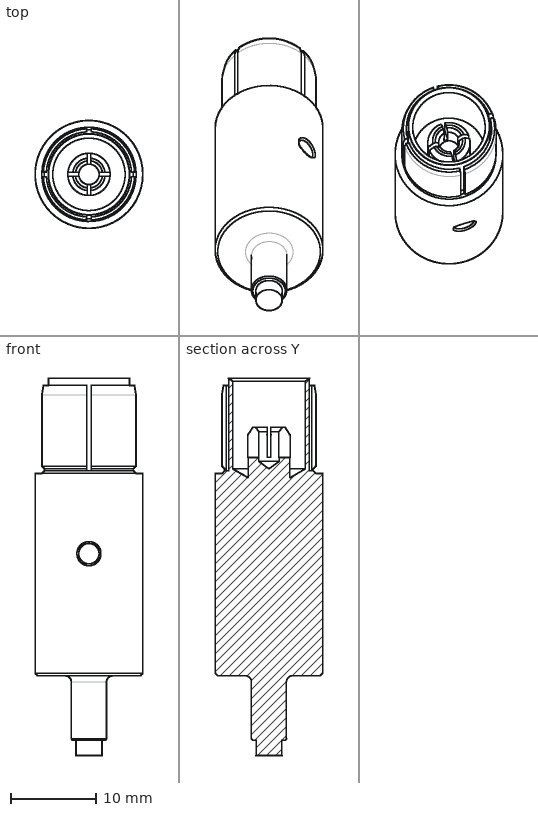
import cadquery as cq
import math

rim_z = 44.35
sleeve_top_z = rim_z - 0.85
body_top_z = rim_z - 11.15
body_bottom_z = rim_z - 34.98
stem_bottom_z = rim_z - 42.55

body_radius = 6.35
body_chamfer = 0.3

stem_radius = 2.1
stem_fillet = 0.7
stem_chamfer = 0.18
tip_radius = 1.55

sleeve_radius = 5.55
sleeve_top_radius = 5.35
sleeve_taper_height = 1.1
sleeve_inner_radius = 5.0
sleeve_slot_width = 0.55
undercut_radius = 5.25
undercut_height = 0.85
undercut_flat = 0.2
undercut_flare = 0.3
slot_floor_z = body_top_z + undercut_flare

tube_radius = 4.8
bore_mouth_radius = 4.75
bore_radius = 4.25
bore_mouth_depth = 0.35
bore_depth = 10.65
bore_floor_angle = 30.0
bore_floor_z = rim_z - bore_depth

pin_radius = 2.5
pin_top_radius = 1.9
pin_taper_height = 0.9
pin_top_z = rim_z - 5.75
socket_mouth_radius = 1.6
socket_radius = 1.2
socket_mouth_depth = 0.55
socket_depth = 4.0
socket_tip_angle = 36.0
pin_slot_width = 0.45
pin_slot_depth = 3.55

hole_z = rim_z - 20.6
hole_radius = 1.2
hole_chamfer = 0.2
hole_floor_radius = 5.1


def revolve_profile(outline):
    """Turn a closed radius/height outline around the Z axis."""
    return outline.close().revolve(360, (0, 0, 0), (0, 1, 0))


def make_outer_solid():
    """Everything outside: tip, stem, body, sleeve and inner tube, without cavities."""
    fillet_bottom_z = body_bottom_z - stem_fillet
    arc_offset = stem_fillet * (1 - math.sqrt(0.5))
    undercut_top_z = body_top_z + undercut_height
    undercut_bottom_z = body_top_z + undercut_flare
    outline = (
        cq.Workplane("XZ")
        .moveTo(0, 0)
        .lineTo(tip_radius, 0)
        .lineTo(tip_radius, stem_bottom_z)
        .lineTo(stem_radius - stem_chamfer, stem_bottom_z)
        .lineTo(stem_radius, stem_bottom_z + stem_chamfer)
        .lineTo(stem_radius, fillet_bottom_z)
        .threePointArc(
            (stem_radius + arc_offset, body_bottom_z - arc_offset),
            (stem_radius + stem_fillet, body_bottom_z),
        )
        .lineTo(body_radius - body_chamfer, body_bottom_z)
        .lineTo(body_radius, body_bottom_z + body_chamfer)
        .lineTo(body_radius, body_top_z)
        .lineTo(undercut_radius + undercut_flare, body_top_z)
        .lineTo(undercut_radius, undercut_bottom_z)
        .lineTo(undercut_radius, undercut_bottom_z + undercut_flat)
        .lineTo(sleeve_radius, undercut_top_z)
        .lineTo(sleeve_radius, sleeve_top_z - sleeve_taper_height)
        .lineTo(sleeve_top_radius, sleeve_top_z)
        .lineTo(tube_radius, sleeve_top_z)
        .lineTo(tube_radius, rim_z)
        .lineTo(0, rim_z)
    )
    return revolve_profile(outline)


def ring(outer_radius, inner_radius, bottom_z, top_z):
    """Plain ring between two heights."""
    return (
        cq.Workplane("XY", origin=(0, 0, bottom_z))
        .circle(outer_radius)
        .circle(inner_radius)
        .extrude(top_z - bottom_z)
    )


def cross_slots(width, bottom_z, top_z):
    """Two crossed plates that cut four slots, a quarter turn apart."""
    length = 2 * body_radius
    height = top_z - bottom_z
    plates = cq.Workplane("XY", origin=(0, 0, bottom_z))
    along_x = plates.rect(length, width).extrude(height)
    along_y = plates.rect(width, length).extrude(height)
    return along_x.union(along_y)


def make_bore():
    """Straight bore with a chamfered mouth and a conical floor."""
    floor_drop = bore_radius * math.tan(math.radians(bore_floor_angle))
    outline = (
        cq.Workplane("XZ")
        .moveTo(0, rim_z)
        .lineTo(bore_mouth_radius, rim_z)
        .lineTo(bore_radius, rim_z - bore_mouth_depth)
        .lineTo(bore_radius, bore_floor_z)
        .lineTo(0, bore_floor_z - floor_drop)
    )
    return revolve_profile(outline)


def make_pin():
    """Tapered contact pin with a countersunk blind socket and four slots."""
    socket_bottom_z = pin_top_z - socket_depth
    tip_drop = socket_radius * math.tan(math.radians(socket_tip_angle))
    foot_z = body_bottom_z + body_chamfer
    outline = (
        cq.Workplane("XZ")
        .moveTo(0, foot_z)
        .lineTo(pin_radius, foot_z)
        .lineTo(pin_radius, pin_top_z - pin_taper_height)
        .lineTo(pin_top_radius, pin_top_z)
        .lineTo(socket_mouth_radius, pin_top_z)
        .lineTo(socket_radius, pin_top_z - socket_mouth_depth)
        .lineTo(socket_radius, socket_bottom_z)
        .lineTo(0, socket_bottom_z - tip_drop)
    )
    slots = cross_slots(pin_slot_width, pin_top_z - pin_slot_depth, pin_top_z)
    return revolve_profile(outline).cut(slots)


def cut_side_holes(solid):
    """Blind holes on the -Y and +Y sides, with chamfered mouths and rounded floors."""
    hole_plane = cq.Workplane("XZ", origin=(0, 0, hole_z))
    drill = hole_plane.circle(hole_radius).extrude(body_radius, both=True)
    core = cq.Workplane("XY", origin=(0, 0, body_bottom_z)).circle(hole_floor_radius)
    solid = solid.cut(drill.cut(core.extrude(body_top_z - body_bottom_z)))
    reach = 2 * hole_radius
    mouth_inner_y = (hole_floor_radius + body_radius) / 2
    for side in (-1, 1):
        mouth_box = cq.selectors.BoxSelector(
            (-reach, side * mouth_inner_y, hole_z - reach),
            (reach, side * 2 * body_radius, hole_z + reach),
        )
        solid = solid.edges(mouth_box).chamfer(hole_chamfer)
    return solid


result = cut_side_holes(make_outer_solid())

result = result.cut(ring(sleeve_inner_radius, tube_radius, slot_floor_z, sleeve_top_z))
sleeve_slots = cross_slots(sleeve_slot_width, slot_floor_z, sleeve_top_z)
sleeve_zone = ring(body_radius, tube_radius, slot_floor_z, sleeve_top_z)
result = result.cut(sleeve_slots.intersect(sleeve_zone))

result = result.cut(make_bore()).union(make_pin())